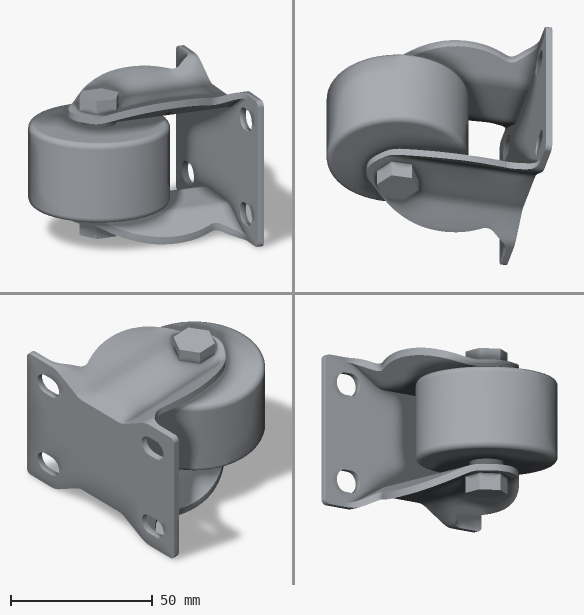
import cadquery as cq
import math


wheel_radius = 25.0
wheel_width = 29.4
wheel_edge_radius = 2.0
hub_diameter = 12.0
hex_across_flats = 13.0
bolt_head_height = 5.0
nut_height = 6.0

overall_length = 72.57
plate_width = 72.0
plate_height = 54.0
plate_corner_radius = 2.0
sheet = 2.35
slot_width = 8.0
slot_length = 10.6
slot_spacing_x = 51.0
slot_spacing_z = 35.0

plate_back = overall_length - wheel_radius
plate_front = plate_back - sheet

web_height = 20.0
web_half_width = 8.65
flank_angle = math.radians(31)
flank_end = 19.8
inner_bend_radius = 6.3
leg_half_width = 27.2
shoulder_radius = 7.0

root_radius = 7.0
neck_angle = math.radians(52)
waist_radius = 4.3
wing_half_width = 21.2
wing_center_y = 20.77
tip_radius = 9.5
tip_y = -11.0


def skin_points(depth):
    """Corner points of the leg surface lying `depth` below the outer skin, for x >= 0."""
    inner_radius = inner_bend_radius + depth
    outer_radius = (leg_half_width - flank_end) / math.sin(flank_angle) - depth
    inner_center_z = web_height + inner_bend_radius

    def inner_bend(angle):
        x = web_half_width + inner_radius * math.sin(angle)
        z = inner_center_z - inner_radius * math.cos(angle)
        return (x, z)

    skin_x = web_half_width + inner_bend_radius * math.sin(flank_angle)
    skin_z = inner_center_z - inner_bend_radius * math.cos(flank_angle)
    flank_end_z = skin_z + (flank_end - skin_x) * math.tan(flank_angle)
    outer_center_z = flank_end_z - (outer_radius + depth) * math.cos(flank_angle)

    def outer_bend(angle):
        x = leg_half_width - outer_radius * math.sin(angle)
        z = outer_center_z + outer_radius * math.cos(angle)
        return (x, z)

    return (
        [inner_bend(0), inner_bend(flank_angle / 2), inner_bend(flank_angle)],
        [outer_bend(flank_angle), outer_bend(flank_angle / 2), outer_bend(0)],
    )


def mirror_x(point):
    return (-point[0], point[1])


def body_under_skin(depth):
    """Solid between z = 0 and the leg surface at the given depth, along the whole part."""
    inner, outer = skin_points(depth)
    side = plate_width / 2
    top = outer[2][1]
    section = (
        cq.Workplane("XZ", origin=(0, plate_back, 0))
        .moveTo(-side, 0)
        .lineTo(side, 0)
        .lineTo(side, top)
        .lineTo(*outer[2])
        .threePointArc(outer[1], outer[0])
        .lineTo(*inner[2])
        .threePointArc(inner[1], inner[0])
        .lineTo(*mirror_x(inner[0]))
        .threePointArc(mirror_x(inner[1]), mirror_x(inner[2]))
        .lineTo(*mirror_x(outer[0]))
        .threePointArc(mirror_x(outer[1]), mirror_x(outer[2]))
        .lineTo(-side, top)
        .close()
    )
    return section.extrude(overall_length)


def trimmed_body():
    """Body under the outer skin, cut level with the plate edge and rounded along both shoulders."""
    half_height = plate_height / 2
    corner = cq.Vector(-plate_width / 2, plate_back - overall_length, 0)
    block = cq.Workplane(cq.Solid.makeBox(plate_width, overall_length, half_height, corner))
    body = body_under_skin(0).intersect(block)
    shoulder_zone = cq.selectors.BoxSelector(
        (-leg_half_width, -overall_length, half_height - sheet / 10),
        (leg_half_width, overall_length, half_height + sheet / 10),
    )
    return body.edges("|Y").edges(shoulder_zone).fillet(shoulder_radius)


def on_circle(center, radius, angle):
    return (center[0] + radius * math.cos(angle), center[1] + radius * math.sin(angle))


def direction(start, end):
    return math.atan2(end[1] - start[1], end[0] - start[0])


def leg_outline():
    """Prism with the outline of a leg: root, neck, waist, wide wing and rounded tip."""
    tip_center = (0, tip_y + tip_radius)
    reach = wing_half_width - tip_radius
    rise = wing_center_y - tip_center[1]
    wing_radius = tip_radius + (reach ** 2 + rise ** 2) / (2 * reach)
    wing_center = (wing_half_width - wing_radius, wing_center_y)

    root_center = (leg_half_width, plate_front - root_radius)
    root_start = (leg_half_width, plate_front)
    root_end_angle = math.pi / 2 + neck_angle
    root_mid = on_circle(root_center, root_radius, math.pi / 2 + neck_angle / 2)
    root_end = on_circle(root_center, root_radius, root_end_angle)

    along_neck = root_end_angle + math.pi / 2
    outward = root_end_angle + math.pi
    base = on_circle(root_end, waist_radius, outward)
    base_distance = math.dist(base, wing_center)
    offset = base_distance * math.cos(direction(base, wing_center) - along_neck)
    miss_squared = base_distance ** 2 - offset ** 2
    neck_length = offset - math.sqrt((wing_radius + waist_radius) ** 2 - miss_squared)
    waist_center = on_circle(base, neck_length, along_neck)
    waist_start = on_circle(root_end, neck_length, along_neck)
    wing_start_angle = direction(wing_center, waist_center)
    waist_end = on_circle(wing_center, wing_radius, wing_start_angle)
    waist_mid_angle = (root_end_angle + wing_start_angle + math.pi) / 2
    waist_mid = on_circle(waist_center, waist_radius, waist_mid_angle)

    wing_widest = (wing_half_width, wing_center_y)
    wing_end = on_circle(tip_center, tip_radius, direction(wing_center, tip_center))

    outline = (
        cq.Workplane("XY")
        .moveTo(leg_half_width, plate_back)
        .lineTo(*root_start)
        .threePointArc(root_mid, root_end)
        .lineTo(*waist_start)
        .threePointArc(waist_mid, waist_end)
        .threePointArc(wing_widest, wing_end)
        .threePointArc((0, tip_y), mirror_x(wing_end))
        .threePointArc(mirror_x(wing_widest), mirror_x(waist_end))
        .threePointArc(mirror_x(waist_mid), mirror_x(waist_start))
        .lineTo(*mirror_x(root_end))
        .threePointArc(mirror_x(root_mid), mirror_x(root_start))
        .lineTo(-leg_half_width, plate_back)
        .close()
    )
    return outline.extrude(plate_height / 2)


def bracket():
    """Mounting plate with its two bent legs."""
    outer_body = trimmed_body()
    leg = outer_body.cut(body_under_skin(sheet)).intersect(leg_outline())

    plate_plane = cq.Workplane("XZ", origin=(0, plate_back, 0))
    plate = plate_plane.rect(plate_width, plate_height).extrude(sheet)
    plate = plate.edges("|Y").fillet(plate_corner_radius)
    plate = plate.intersect(outer_body.union(outer_body.mirror("XY")))
    slot_grid = plate_plane.rarray(slot_spacing_x, slot_spacing_z, 2, 2)
    slots = slot_grid.slot2D(slot_length, slot_width).extrude(sheet)

    return plate.union(leg).union(leg.mirror("XY")).cut(slots)


def wheel():
    """Solid wheel with rounded rims and a hub reaching both webs."""
    tread = cq.Workplane("XY").circle(wheel_radius).extrude(wheel_width / 2, both=True)
    tread = tread.edges().fillet(wheel_edge_radius)
    hub = cq.Workplane("XY").circle(hub_diameter / 2).extrude(web_height - sheet, both=True)
    return tread.union(hub)


def hexagon(base_z, height):
    """Hexagonal prism with its corners pointing along Y."""
    across_corners = hex_across_flats / math.cos(math.pi / 6)
    base = cq.Workplane("XY", origin=(0, 0, base_z)).transformed(rotate=(0, 0, 90))
    return base.polygon(6, across_corners).extrude(height)


bolt_head = hexagon(web_height, bolt_head_height)
nut = hexagon(-web_height, -nut_height)

result = bracket().union(wheel()).union(bolt_head).union(nut)